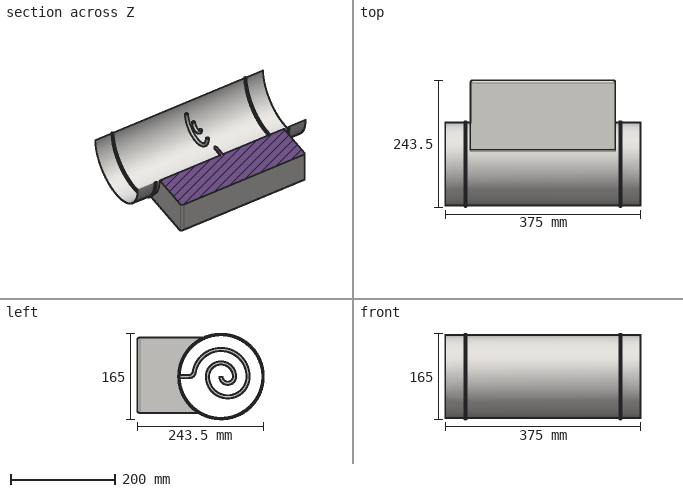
import cadquery as cq
import math

DUCT_LENGTH = 375.0
DUCT_RADIUS = 80.0
WALL = 1.0
BORE_RADIUS = DUCT_RADIUS - WALL

BEAD_RADIUS = 2.5
BEAD_FROM_END = 39.0
BEAD_X = DUCT_LENGTH / 2 - BEAD_FROM_END

BOX_LENGTH = 278.0
BOX_BACK_Y = 161.0
BOX_TOP_Z = 75.0
BOX_BOTTOM_Z = -70.0
BOX_HEIGHT = BOX_TOP_Z - BOX_BOTTOM_Z
BOX_EDGE_RADIUS = 5.0

ROD_RADIUS = 3.25
COIL_STEP = 13.0
HALF_TURNS = 4
LEAD_BEND_RADIUS = 10.0


def x_cylinder(radius, length):
    """Solid cylinder along X, centred on the origin."""
    return cq.Workplane("YZ").circle(radius).extrude(length / 2, both=True)


def bead_ring(x, radius):
    """Full torus around the duct axis; its section circle is centred on the duct surface."""
    return cq.Workplane("XY").center(x, DUCT_RADIUS).circle(radius).revolve(
        360, (0, -DUCT_RADIUS, 0), (1, -DUCT_RADIUS, 0)
    )


def make_duct():
    """Pipe with hollow beads: a ridge outside and a matching groove inside."""
    duct = x_cylinder(DUCT_RADIUS, DUCT_LENGTH)
    for x in (-BEAD_X, BEAD_X):
        duct = duct.union(bead_ring(x, BEAD_RADIUS))
    duct = duct.cut(x_cylinder(BORE_RADIUS, DUCT_LENGTH))
    for x in (-BEAD_X, BEAD_X):
        duct = duct.cut(bead_ring(x, BEAD_RADIUS - WALL))
    return duct


def make_box_block():
    """Block from the duct axis to the box back, with rounded edges around the back face."""
    block = cq.Workplane("XY").box(BOX_LENGTH, BOX_BACK_Y, BOX_HEIGHT, centered=(True, False, False))
    return block.translate((0, 0, BOX_BOTTOM_Z)).faces(">Y").edges().fillet(BOX_EDGE_RADIUS)


def make_coil():
    """Spiral of half turns, then a reverse bend into a straight lead that enters the box."""
    path = cq.Workplane("YZ").moveTo(0, 0)
    y = 0.0
    for turn in range(1, HALF_TURNS):
        radius = turn * COIL_STEP
        side = -1 if turn % 2 else 1
        end_y = y + side * 2 * radius
        path = path.threePointArc((y + side * radius, side * radius), (end_y, 0))
        y = end_y

    last_radius = HALF_TURNS * COIL_STEP
    bend_centre_distance = last_radius + LEAD_BEND_RADIUS
    bend_angle = math.asin(LEAD_BEND_RADIUS / bend_centre_distance)
    bend_y = bend_centre_distance * math.cos(bend_angle)
    turn_end = (last_radius * math.cos(bend_angle), last_radius * math.sin(bend_angle))
    middle_angle = (bend_angle + math.pi / 2) / 2
    bend_middle = (
        bend_y - LEAD_BEND_RADIUS * math.cos(middle_angle),
        LEAD_BEND_RADIUS - LEAD_BEND_RADIUS * math.sin(middle_angle),
    )
    path = path.threePointArc((0, last_radius), turn_end)
    path = path.threePointArc(bend_middle, (bend_y, 0))
    path = path.lineTo(DUCT_RADIUS, 0)
    return cq.Workplane("XY").circle(ROD_RADIUS).sweep(path)


box_block = make_box_block()
terminal_box = box_block.cut(x_cylinder(BORE_RADIUS, DUCT_LENGTH))
duct_with_opening = make_duct().cut(box_block)
result = duct_with_opening.union(terminal_box, clean=False).union(make_coil(), clean=False)